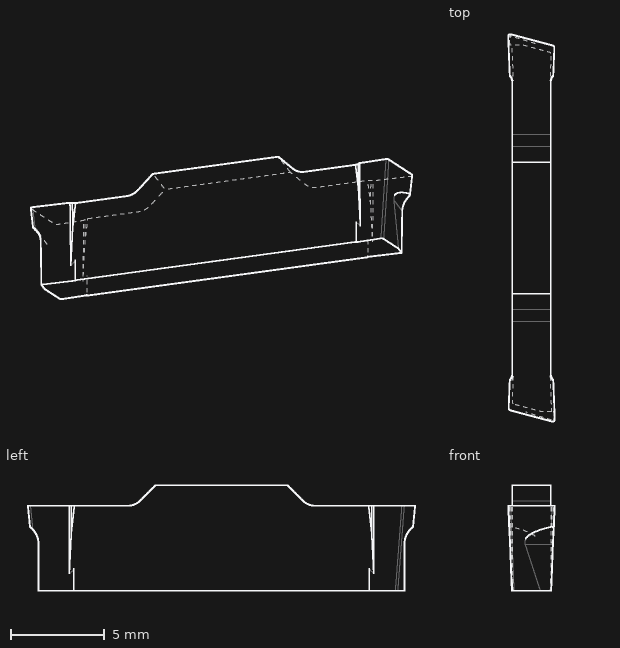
import cadquery as cq
import math

overall_height = 5.65
rake_height = 4.55

shank_half_width = 1.03
hump_top_half_length = 3.52
hump_slope_angle = math.radians(45)
hump_root_radius = 0.9

tip_half_width = 1.256
tip_y = 10.39
corner_radius = 0.13
lead_slope = math.tan(math.radians(15))
end_relief_slope = math.tan(math.radians(5))
flank_slope = math.tan(math.radians(2.2))

step_y = 8.13
step_steep_length = 0.11
step_steep_drop = 0.085
step_gentle_length = 0.18
step_gentle_drop = 0.06
relief_run = 0.24
relief_end_y = step_y - relief_run

notch_wall_y = 9.78
notch_tangent_depth = 2.05
notch_tangent_height = rake_height - notch_tangent_depth
notch_radius = 1.15


def flank_half_width(y, depth):
    """Half-width between the flanks at a distance y from the centre and a depth below the rake."""
    return tip_half_width - flank_slope * (tip_y - y + depth)


def corner_y(side, depth):
    """Distance of an end corner from the centre; side is 1 for the long corner, -1 for the short one."""
    reference_half_width = flank_half_width(tip_y, depth)
    setback = (tip_half_width - side * reference_half_width) * lead_slope + depth * end_relief_slope
    return tip_y - setback / (1 - side * flank_slope * lead_slope)


def loft_outline(outline):
    """Solid with straight sides from the underside outline to the rake outline."""
    underside = cq.Workplane("XY").polyline(outline(rake_height)).close()
    return underside.workplane(offset=rake_height).polyline(outline(0)).close().loft(ruled=True)


def mirrored_outline(half_outline):
    """Full outline of the -Y head from its +X side points, given as (half-width, distance)."""
    right = [(x, -y) for x, y in half_outline]
    left = [(-x, -y) for x, y in reversed(half_outline)]
    return right + left


def head_outline(depth):
    step_half_width = flank_half_width(step_y, depth)
    knee_half_width = step_half_width - step_steep_drop
    knee_y = step_y - step_steep_length
    step = mirrored_outline([
        (step_half_width, step_y),
        (knee_half_width, knee_y),
        (knee_half_width - step_gentle_drop, knee_y - step_gentle_length),
    ])
    long_y = corner_y(1, depth)
    short_y = corner_y(-1, depth)
    return step + [
        (-flank_half_width(short_y, depth), -short_y),
        (flank_half_width(long_y, depth), -long_y),
    ]


def neck_outline(depth):
    return mirrored_outline([
        (flank_half_width(y, depth), y) for y in (step_y, relief_end_y)
    ])


def make_shank():
    arc_drop = hump_root_radius * (1 - math.cos(hump_slope_angle))
    arc_run = hump_root_radius * math.sin(hump_slope_angle)
    arc_top_z = rake_height + arc_drop
    slope_end_y = hump_top_half_length + (overall_height - arc_top_z) / math.tan(hump_slope_angle)
    arc_end_y = slope_end_y + arc_run
    arc_mid_y = arc_end_y - hump_root_radius * math.sin(hump_slope_angle / 2)
    arc_mid_z = rake_height + hump_root_radius * (1 - math.cos(hump_slope_angle / 2))
    return (
        cq.Workplane("YZ")
        .moveTo(-relief_end_y, 0)
        .lineTo(relief_end_y, 0)
        .lineTo(relief_end_y, rake_height)
        .lineTo(arc_end_y, rake_height)
        .threePointArc((arc_mid_y, arc_mid_z), (slope_end_y, arc_top_z))
        .lineTo(hump_top_half_length, overall_height)
        .lineTo(-hump_top_half_length, overall_height)
        .lineTo(-slope_end_y, arc_top_z)
        .threePointArc((-arc_mid_y, arc_mid_z), (-arc_end_y, rake_height))
        .lineTo(-relief_end_y, rake_height)
        .close()
        .extrude(shank_half_width, both=True)
    )


def make_notch():
    """Upright wall with a quarter round above it, cut across the whole -Y end."""
    arc_middle = notch_radius * math.sin(math.pi / 4)
    arc_centre_y = notch_wall_y + notch_radius
    return (
        cq.Workplane("YZ")
        .moveTo(-notch_wall_y, 0)
        .lineTo(-notch_wall_y, notch_tangent_height)
        .threePointArc(
            (-arc_centre_y + arc_middle, notch_tangent_height + arc_middle),
            (-arc_centre_y, notch_tangent_height + notch_radius),
        )
        .lineTo(-arc_centre_y, 0)
        .close()
        .extrude(2 * tip_half_width, both=True)
    )


def make_head():
    """Cutting head at the -Y end, with its long corner on +X."""
    blank = loft_outline(head_outline)
    corner_edges = blank.faces("<Y").edges("not #Z")
    head = corner_edges.fillet(corner_radius)
    shank_envelope = cq.Workplane("XY").box(
        2 * shank_half_width, 2 * tip_y, rake_height, centered=(True, True, False)
    )
    neck = loft_outline(neck_outline).intersect(shank_envelope)
    return head.union(neck).cut(make_notch())


head = make_head()
opposite_head = head.rotate((0, 0, 0), (0, 0, 1), 180)
result = make_shank().union(head).union(opposite_head)